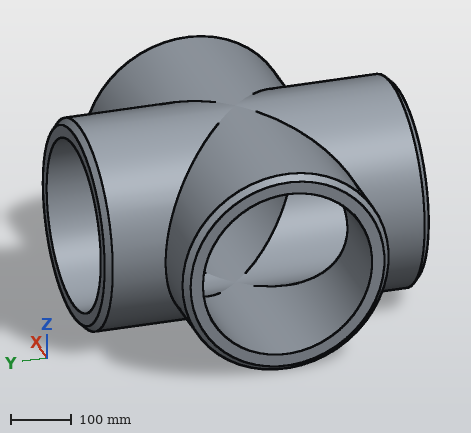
import cadquery as cq

length = 559.0
outer_diameter = 355.5
bore_diameter = 291.5
chamfer = 10.5


def centered_cylinder(plane, diameter):
    """Cylinder of the full pipe length, centered on the origin along the plane normal."""
    return cq.Workplane(plane).circle(diameter / 2).extrude(length / 2, both=True)


def pipe_body(plane):
    """Solid pipe with its outer end edges chamfered."""
    return centered_cylinder(plane, outer_diameter).edges("%CIRCLE").chamfer(chamfer)


body = pipe_body("YZ").union(pipe_body("XZ"))

result = body
for bore_plane in ("YZ", "XZ"):
    result = result.cut(centered_cylinder(bore_plane, bore_diameter))